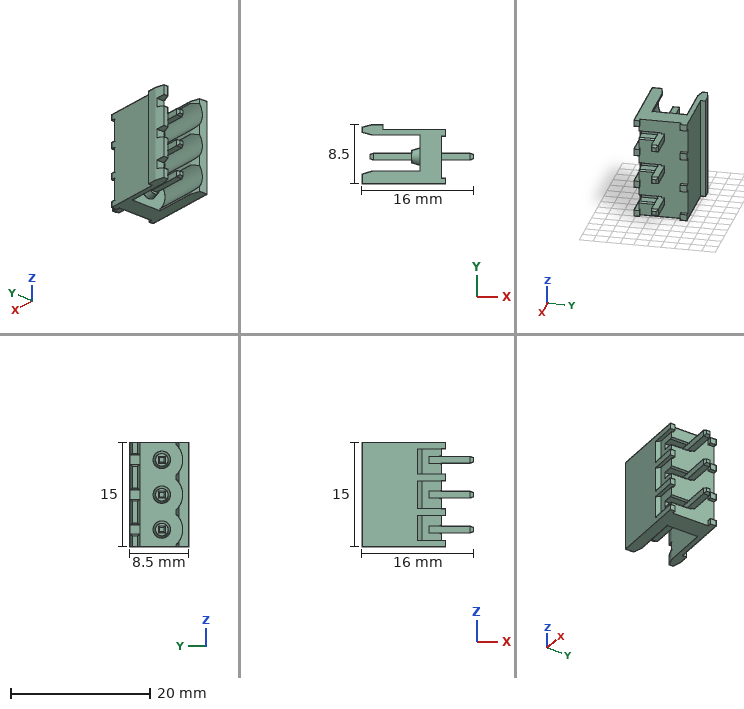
import cadquery as cq


pin_count = 3
pitch = 5.0
pin_y = 3.9
pin_width = 1.0
pin_start = 1.1
pin_end = 16.0
pin_tip_length = 0.5
pin_tip_width = 0.6

height = pin_count * pitch
wall_length = 12.0
cavity_floor_x = 8.3
block_end_x = 11.4
front_lip = 0.8
front_wall = 1.85
front_lead_in_length = 1.5
front_lead_in_depth = 0.45
rear_inner_y = 7.0
rear_outer_y = 7.8
rear_lip = 1.0

latch_outer_y = 8.5
latch_length = 3.0
latch_taper_length = 1.4
latch_taper_depth = 0.38
notch_depth = 1.2
notch_mouth_width = 1.85
notch_floor_width = 1.35

bore_radius = 3.0
collar_length = 1.2
collar_base_radius = 1.25
collar_top_radius = 0.9

pocket_start_x = 7.97
pocket_depth = 0.6
end_rib = 0.93
middle_rib = 1.0
slot_start_x = 9.6
slot_flare_length = 0.35
slot_flare_height = 0.15

pin_heights = [pitch * (i + 0.5) for i in range(pin_count)]


def make_housing():
    """U-shaped profile with the latch rail, extruded along Z."""
    outline = [
        (0, 0),
        (wall_length, 0),
        (wall_length, front_lip),
        (block_end_x, front_lip),
        (block_end_x, rear_outer_y - rear_lip),
        (wall_length, rear_outer_y - rear_lip),
        (wall_length, rear_outer_y),
        (latch_length, rear_outer_y),
        (latch_length, latch_outer_y),
        (latch_taper_length, latch_outer_y),
        (0, latch_outer_y - latch_taper_depth),
        (0, rear_inner_y + latch_taper_depth),
        (latch_taper_length, rear_inner_y),
        (cavity_floor_x, rear_inner_y),
        (cavity_floor_x, front_wall),
        (front_lead_in_length, front_wall),
        (0, front_wall - front_lead_in_depth),
    ]
    return cq.Workplane("XY").polyline(outline).close().extrude(height)


def make_bore(z):
    """Round plug clearance that scallops the inside of the front wall."""
    return cq.Workplane("YZ", origin=(0, pin_y, z)).circle(bore_radius).extrude(cavity_floor_x)


def make_latch_notch(z):
    """Tapered notch across the latch rail, in line with a pin."""
    profile = [
        (0, z - notch_mouth_width / 2),
        (notch_depth, z - notch_floor_width / 2),
        (notch_depth, z + notch_floor_width / 2),
        (0, z + notch_mouth_width / 2),
    ]
    sketch = cq.Workplane("XZ", origin=(0, latch_outer_y, 0)).polyline(profile).close()
    return sketch.extrude(latch_outer_y - rear_inner_y)


def make_pocket(index):
    """Clearance between two ribs: front pocket with a sloped inner end, and a gap through both lips."""
    bottom_rib = end_rib if index == 0 else middle_rib / 2
    top_rib = end_rib if index == pin_count - 1 else middle_rib / 2
    bottom = index * pitch + bottom_rib
    top = (index + 1) * pitch - top_rib
    profile = [
        (pocket_start_x, 0),
        (wall_length, 0),
        (wall_length, rear_outer_y),
        (block_end_x, rear_outer_y),
        (block_end_x, pocket_depth),
        (pocket_start_x + pocket_depth, pocket_depth),
    ]
    return cq.Workplane("XY", origin=(0, 0, bottom)).polyline(profile).close().extrude(top - bottom)


def make_slot(z):
    """Slot from the pocket to the pin, flared where it leaves the block."""
    half = pin_width / 2
    flare_start_x = block_end_x - slot_flare_length
    profile = [
        (slot_start_x, z - half),
        (flare_start_x, z - half),
        (block_end_x, z - half - slot_flare_height),
        (block_end_x, z + half + slot_flare_height),
        (flare_start_x, z + half),
        (slot_start_x, z + half),
    ]
    return cq.Workplane("XZ").polyline(profile).close().extrude(-pin_y)


def make_collar(z):
    """Conical collar around a pin on the cavity floor."""
    base = cq.Workplane("YZ", origin=(cavity_floor_x, pin_y, z)).circle(collar_base_radius)
    return base.workplane(offset=-collar_length).circle(collar_top_radius).loft(ruled=True)


def make_pin_tip(x, direction, z):
    """Pyramid-shaped pin end that starts at x and points along +X or -X."""
    base = cq.Workplane("YZ", origin=(x, pin_y, z)).rect(pin_width, pin_width)
    tip = base.workplane(offset=direction * pin_tip_length).rect(pin_tip_width, pin_tip_width)
    return tip.loft(ruled=True)


def make_pin(z):
    """Square pin with a tapered tip at both ends."""
    shaft_start = pin_start + pin_tip_length
    shaft_end = pin_end - pin_tip_length
    shaft = (
        cq.Workplane("YZ", origin=(shaft_start, pin_y, z))
        .rect(pin_width, pin_width)
        .extrude(shaft_end - shaft_start)
    )
    return shaft.union(make_pin_tip(shaft_start, -1, z)).union(make_pin_tip(shaft_end, 1, z))


result = make_housing()

for index, pin_z in enumerate(pin_heights):
    result = result.cut(make_bore(pin_z))
    result = result.cut(make_latch_notch(pin_z))
    result = result.cut(make_pocket(index))
    result = result.cut(make_slot(pin_z))
    result = result.union(make_collar(pin_z))
    result = result.union(make_pin(pin_z))